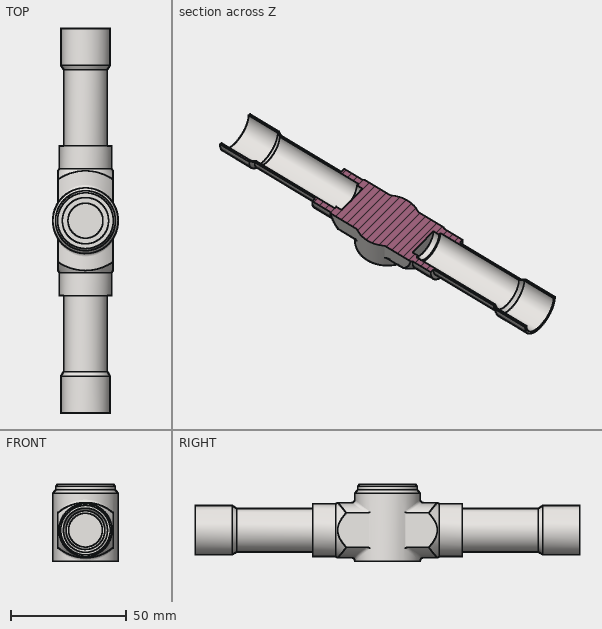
import math

import cadquery as cq

overall_length = 167.0
half_length = overall_length / 2
body_height = 33.5
body_bottom = -13.5
body_top = body_bottom + body_height

body_radius = 28.5 / 2
rim_radius = 13.0
rim_height = 2.5
shoulder_height = 1.5
rim_chamfer_width = 0.9
rim_chamfer_height = 1.0

recess_diameter = 20.1
recess_depth = 1.4
window_diameter = 15.2
window_step = 0.2

flank_half_width = 12.0
flank_half_height = 12.0
flat_half_height = 7.5
flank_end = 22.5
flank_chamfer_angle = 30.0
root_fillet = 1.25

sleeve_radius = 23.0 / 2
sleeve_end = 32.5
pipe_radius = 19.0 / 2
socket_radius = 21.5 / 2
socket_length = 16.0
flare_length = 2.0

socket_bore_radius = 19.2 / 2
pipe_bore_radius = 16.8 / 2
port_radius = 14.7 / 2
port_depth = 3.0


def revolve_about_y(points):
    """Solid of revolution about the Y axis from (radius, y) points."""
    return cq.Workplane("XY").polyline(points).close().revolve(360, (0, 0, 0), (0, 1, 0))


def round_body():
    shoulder_top = body_top - rim_height
    return (
        cq.Workplane("XZ")
        .moveTo(0, body_bottom)
        .lineTo(body_radius, body_bottom)
        .lineTo(body_radius, shoulder_top - shoulder_height)
        .lineTo(rim_radius, shoulder_top)
        .lineTo(rim_radius, body_top - rim_chamfer_height)
        .lineTo(rim_radius - rim_chamfer_width, body_top)
        .lineTo(0, body_top)
        .close()
        .revolve(360, (0, 0, 0), (0, 1, 0))
    )


def flanks():
    """Crowned bar through the body, its ends turned down to a cone."""
    bar = (
        cq.Workplane("XZ")
        .moveTo(-flank_half_width, -flat_half_height)
        .lineTo(-flank_half_width, flat_half_height)
        .threePointArc((0, flank_half_height), (flank_half_width, flat_half_height))
        .lineTo(flank_half_width, -flat_half_height)
        .threePointArc((0, -flank_half_height), (-flank_half_width, -flat_half_height))
        .close()
        .extrude(flank_end, both=True)
    )
    middle_radius = sleeve_radius + flank_end * math.tan(math.radians(flank_chamfer_angle))
    double_cone = revolve_about_y(
        [
            (0, -flank_end),
            (sleeve_radius, -flank_end),
            (middle_radius, 0),
            (sleeve_radius, flank_end),
            (0, flank_end),
        ]
    )
    return bar.intersect(double_cone)


def add_root_fillets(solid):
    """Round the closed seam where the flanks meet the body, on the +Y and -Y sides."""
    seam_centre_y = math.sqrt(body_radius**2 - flank_half_width**2)
    near_y = seam_centre_y / 2
    far_y = flank_half_width
    reach = body_radius
    back_seam = cq.selectors.BoxSelector((-reach, near_y, -reach), (reach, far_y, reach))
    front_seam = cq.selectors.BoxSelector((-reach, -far_y, -reach), (reach, -near_y, reach))
    return solid.edges(back_seam + front_seam).fillet(root_fillet)


def pipe():
    """Sleeve, pipe and flared socket on the +Y side."""
    socket_start = half_length - socket_length
    return revolve_about_y(
        [
            (0, 0),
            (sleeve_radius, 0),
            (sleeve_radius, sleeve_end),
            (pipe_radius, sleeve_end),
            (pipe_radius, socket_start - flare_length),
            (socket_radius, socket_start),
            (socket_radius, half_length),
            (0, half_length),
        ]
    )


def pipe_bore():
    """Stepped bore on the +Y side, ending in a flat floor."""
    socket_start = half_length - socket_length
    port_floor = flank_end - port_depth
    return revolve_about_y(
        [
            (0, port_floor),
            (port_radius, port_floor),
            (port_radius, flank_end),
            (pipe_bore_radius, flank_end),
            (pipe_bore_radius, socket_start - flare_length),
            (socket_bore_radius, socket_start),
            (socket_bore_radius, half_length),
            (0, half_length),
        ]
    )


def window_recess():
    recess_floor = body_top - recess_depth
    outer = cq.Workplane("XY").workplane(offset=recess_floor).circle(recess_diameter / 2).extrude(recess_depth)
    window = (
        cq.Workplane("XY")
        .workplane(offset=recess_floor - window_step)
        .circle(window_diameter / 2)
        .extrude(recess_depth)
    )
    return outer.union(window)


def fitting():
    solid = add_root_fillets(round_body().union(flanks()))
    solid = solid.union(pipe()).union(pipe().mirror("XZ"))
    solid = solid.cut(pipe_bore()).cut(pipe_bore().mirror("XZ"))
    return solid.cut(window_recess())


result = fitting()